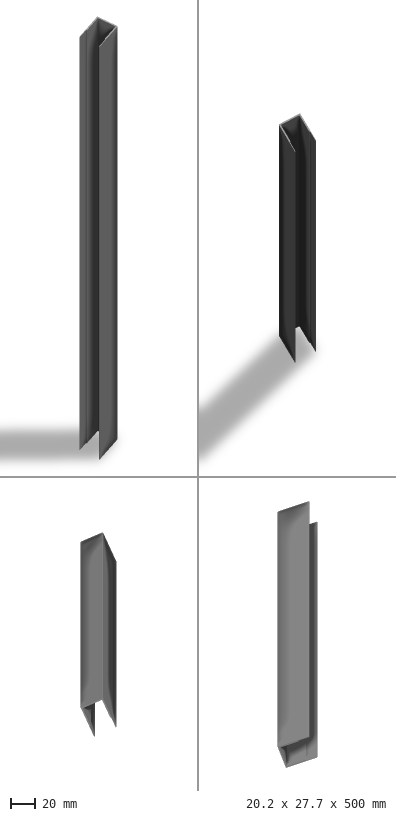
import cadquery as cq

width = 20.2
depth = 27.7
length = 500.0

wall_thickness = 1.3
lip_thickness = 0.6

full_wall_depth = 18.0

corner_chamfer = 0.3

half_width = width / 2
web_outer_y = depth / 2
web_inner_y = web_outer_y - wall_thickness
step_y = web_outer_y - full_wall_depth
tip_y = -depth / 2
flange_inner_x = half_width - wall_thickness
lip_inner_x = half_width - lip_thickness


def channel_half():
    """The +X half of the U-shaped section, extruded equally to both sides of Z = 0."""
    outline = [
        (0, web_outer_y),
        (half_width - corner_chamfer, web_outer_y),
        (half_width, web_outer_y - corner_chamfer),
        (half_width, tip_y + corner_chamfer),
        (half_width - corner_chamfer, tip_y),
        (lip_inner_x, tip_y),
        (lip_inner_x, step_y),
        (flange_inner_x, step_y),
        (flange_inner_x, web_inner_y - corner_chamfer),
        (flange_inner_x - corner_chamfer, web_inner_y),
        (0, web_inner_y),
    ]
    return cq.Workplane("XY").polyline(outline).close().extrude(length / 2, both=True)


right_half = channel_half()
left_half = right_half.mirror("YZ")
result = right_half.union(left_half).clean()